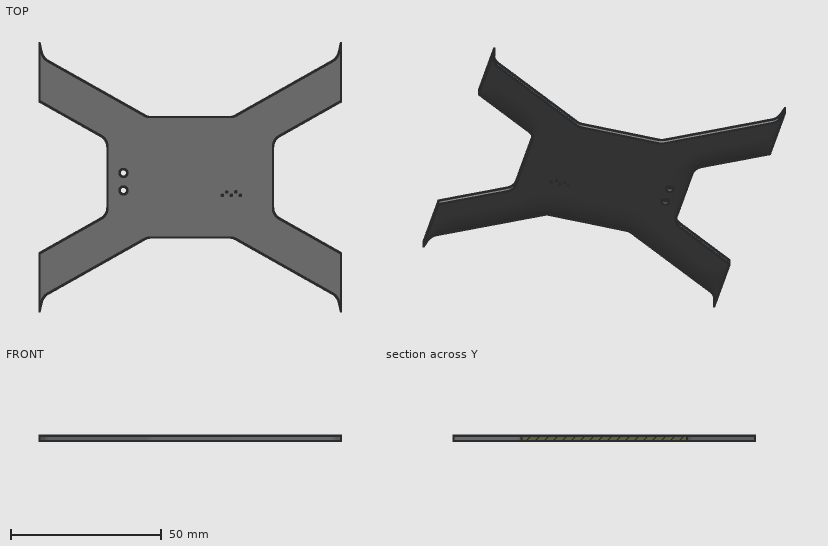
import cadquery as cq
import math

span_x = 100.0
span_y = 89.0
thickness = 1.84

body_x = 55.0
body_y = 40.0
arm_angle = 29.4
arm_top_root_x = 14.2
arm_side_root_y = 12.5
root_fillet = 4.0

flare_start_x = 47.2
flare_middle = (49.3, 41.6)
flare_tip_direction = (0.5, 1.0)

mount_hole_dia = 2.5
mount_hole_x = -22.15
mount_hole_ys = (1.45, -4.35)

pin_hole_dia = 0.3
pin_count = 5
pin_pitch = 1.5
pin_row_center_x = 13.63
pin_low_y = -6.0
pin_high_y = -4.85


def quarter_plate():
    """The +X +Y quarter of the plate, with sharp arm roots."""
    half_x = span_x / 2
    half_y = span_y / 2
    slope = math.tan(math.radians(arm_angle))
    arm_direction = (math.cos(math.radians(arm_angle)), math.sin(math.radians(arm_angle)))
    flare_start_y = body_y / 2 + (flare_start_x - arm_top_root_x) * slope
    inner_edge_end_y = arm_side_root_y + (half_x - body_x / 2) * slope
    return (
        cq.Workplane("XY")
        .lineTo(0, body_y / 2)
        .lineTo(arm_top_root_x, body_y / 2)
        .lineTo(flare_start_x, flare_start_y)
        .spline(
            [flare_middle, (half_x, half_y)],
            tangents=[arm_direction, flare_tip_direction],
            includeCurrent=True,
        )
        .lineTo(half_x, inner_edge_end_y)
        .lineTo(body_x / 2, arm_side_root_y)
        .lineTo(body_x / 2, 0)
        .close()
        .extrude(thickness)
    )


def round_arm_roots(quarter):
    """Fillet the two concave corners where the arm meets the body."""
    roots = ((arm_top_root_x, body_y / 2), (body_x / 2, arm_side_root_y))
    for x, y in roots:
        corner = cq.selectors.NearestToPointSelector((x, y, thickness / 2))
        quarter = quarter.edges("|Z").edges(corner).fillet(root_fillet)
    return quarter


def full_plate():
    """Mirror the quarter across both symmetry planes."""
    quarter = round_arm_roots(quarter_plate())
    half = quarter.union(quarter.mirror("YZ"))
    return half.union(half.mirror("XZ")).clean()


def drill(plate, points, diameter):
    """Cut round through holes at the given XY points."""
    drills = cq.Workplane("XY").pushPoints(points).circle(diameter / 2).extrude(thickness)
    return plate.cut(drills)


def mount_points():
    return [(mount_hole_x, y) for y in mount_hole_ys]


def pin_points():
    """Pins alternate between the low and the high line, starting low."""
    first_x = pin_row_center_x - pin_pitch * (pin_count - 1) / 2
    points = []
    for i in range(pin_count):
        y = pin_low_y if i % 2 == 0 else pin_high_y
        points.append((first_x + i * pin_pitch, y))
    return points


plate = full_plate()
plate = drill(plate, mount_points(), mount_hole_dia)
result = drill(plate, pin_points(), pin_hole_dia)